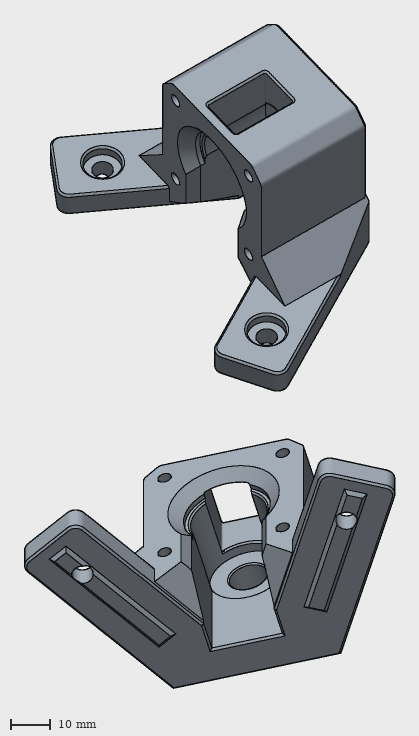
import cadquery as cq
import math

block_width = 42.0
block_depth = 33.3
axis_height = 28.6
block_top = axis_height + block_width / 2
corner_cut = 4.2
corner_blend = 1.9
edge_chamfer = 0.6
screw_spacing = 30.9
screw_dia = 3.5

leg_angle = 30.0
leg_width = 20.0
leg_thickness = 7.5
leg_corner_radius = 3.0
left_leg_length = 55.2
right_leg_length = 54.7
back_half_width = 21.9
gusset_top = 17.5
gusset_half_width = block_width / 2 + gusset_top - leg_thickness
undercut_height = 1.7

foot_hole_dia = 5.4
foot_counterbore_dia = 10.0
foot_counterbore_depth = 2.9
foot_hole_from_end = 12.5
key_width = 6.0
key_height = 1.0
key_back_margin = 12.2
key_end_margin = 3.6

cone_dia = 29.2
recess_dia = 22.7
cone_depth = 3.3
recess_depth = 4.6
bore_dia = 20.0
bore_depth = 24.3
bore_lead = 0.5
shaft_dia = 10.0
shaft_lead = 0.4
slot_width = 18.5
slot_mouth_width = 22.2
slot_depth = 23.3

window_width = 12.0
window_front = 3.0
window_back = 21.3
window_radius = 0.6

bevel_taper = 45.0
reach = 96.7
sin_leg = math.sin(math.radians(leg_angle))
cos_leg = math.cos(math.radians(leg_angle))


def leg_point(side, along, inward):
    """Plan point measured from a back corner: along the leg and inward across it (side -1 left, +1 right)."""
    x = back_half_width + along * sin_leg - inward * cos_leg
    y = block_depth - along * cos_leg - inward * sin_leg
    return (side * x, y)


def leg_plane(side, along, inward, height):
    """Horizontal plane whose local X runs down the leg."""
    x, y = leg_point(side, along, inward)
    direction = (side * sin_leg, -cos_leg, 0)
    return cq.Plane(origin=(x, y, height), xDir=direction, normal=(0, 0, 1))


def frustum(start, end, start_dia, end_dia):
    """Solid of revolution on the shaft axis between two depths behind the front face."""
    profile = [(0, start), (start_dia / 2, start), (end_dia / 2, end), (0, end)]
    solid = cq.Workplane("XY").polyline(profile).close().revolve(360, (0, 0), (0, 1))
    return solid.translate((0, 0, axis_height))


def box_between(x_range, y_range, z_range):
    (x0, x1), (y0, y1), (z0, z1) = x_range, y_range, z_range
    return cq.Workplane("XY").box(x1 - x0, y1 - y0, z1 - z0, centered=False).translate((x0, y0, z0))


def prism(points, height):
    return cq.Workplane("XY").polyline(points).close().extrude(height)


def half_base(side, length):
    """One leg with its half of the base plate, ending at the centre plane."""
    apex_along = (leg_width * cos_leg - back_half_width) / sin_leg
    end_corners = [leg_point(side, length, 0), leg_point(side, length, leg_width)]
    outline = [
        (0, block_depth),
        leg_point(side, 0, 0),
        *end_corners,
        leg_point(side, apex_along, leg_width),
    ]
    leg = prism(outline, leg_thickness)
    for x, y in end_corners:
        corner_edge = cq.selectors.NearestToPointSelector((x, y, leg_thickness / 2))
        leg = leg.edges(corner_edge).fillet(leg_corner_radius)
    rim = leg.faces(">Z").edges("not (|Y or >Y)")
    return rim.chamfer(edge_chamfer)


def block_with_gussets():
    """Block with sloping gussets down to the legs, trimmed to the splayed outer leg faces."""
    half = block_width / 2
    right_side = [
        (gusset_half_width, 0),
        (gusset_half_width, leg_thickness),
        (half, gusset_top),
        (half, block_top - corner_cut),
        (half - corner_cut, block_top),
    ]
    left_side = [(-x, z) for x, z in reversed(right_side)]
    block = cq.Workplane("XZ").polyline(right_side + left_side).close().extrude(-block_depth)
    cut_corners = [(x, z) for x, z in right_side + left_side if z > gusset_top]
    for x, z in cut_corners:
        corner_edge = cq.selectors.NearestToPointSelector((x, block_depth / 2, z))
        block = block.edges(corner_edge).fillet(corner_blend)
    trim_length = block_depth / cos_leg
    trim = prism(
        [
            leg_point(-1, 0, 0),
            leg_point(-1, trim_length, 0),
            leg_point(1, trim_length, 0),
            leg_point(1, 0, 0),
        ],
        block_top,
    )
    return block.intersect(trim)


def undercut():
    """Space beside the right leg: upright at the bottom, then sloping inward at 45 degrees."""
    profile = [
        (0, 0),
        (0, undercut_height),
        (-leg_width, undercut_height + leg_width),
        (-leg_width, 0),
    ]
    x, y = leg_point(1, 0, leg_width)
    across_leg = cq.Plane(origin=(x, y, 0), xDir=(cos_leg, sin_leg, 0), normal=(sin_leg, -cos_leg, 0))
    wedge = cq.Workplane(across_leg).polyline(profile).close().extrude(reach, both=True)
    right_half = box_between((0, reach), (-reach, slot_depth), (0, block_top))
    return wedge.intersect(right_half)


def slot():
    """Open channel from the shaft axis down through the base, with a flared mouth at the front."""
    half = slot_width / 2
    mouth = slot_mouth_width / 2
    outline = [
        (-mouth, 0),
        (-half, cone_depth),
        (-half, slot_depth),
        (half, slot_depth),
        (half, cone_depth),
        (mouth, 0),
    ]
    return prism(outline, axis_height)


def bore_lead_in(start):
    return frustum(start, start + bore_lead, bore_dia + 2 * bore_lead, bore_dia)


def shaft_cavity():
    """Conical mouth, recess, bore and shaft hole, one behind the other."""
    cavity = frustum(0, cone_depth, cone_dia, recess_dia)
    cavity = cavity.union(frustum(cone_depth, recess_depth, recess_dia, recess_dia))
    cavity = cavity.union(bore_lead_in(recess_depth))
    cavity = cavity.union(frustum(recess_depth, bore_depth, bore_dia, bore_dia))
    shaft_rim_dia = shaft_dia + 2 * shaft_lead
    cavity = cavity.union(frustum(bore_depth, bore_depth + shaft_lead, shaft_rim_dia, shaft_dia))
    return cavity.union(frustum(bore_depth, block_depth, shaft_dia, shaft_dia))


def window():
    """Chamfered opening in the top face, with a lead-in where the bore resumes behind it."""
    length = window_back - window_front
    center = (0, window_front + length / 2)
    opening = cq.Workplane("XY", origin=(*center, axis_height)).rect(window_width, length)
    opening = opening.extrude(block_top - axis_height).edges("|Z").fillet(window_radius)
    rim_outline = (
        cq.Sketch()
        .rect(window_width + 2 * edge_chamfer, length + 2 * edge_chamfer)
        .vertices().fillet(window_radius + edge_chamfer)
    )
    rim = cq.Workplane("XY", origin=(*center, block_top)).placeSketch(rim_outline)
    rim = rim.extrude(-edge_chamfer, taper=bevel_taper)
    behind = box_between(
        (-window_width / 2, window_width / 2),
        (window_back, window_back + bore_lead),
        (axis_height, block_top),
    )
    return opening.union(rim).union(bore_lead_in(window_back).intersect(behind))


def motor_screw_holes():
    pattern = cq.Workplane("XZ", origin=(0, 0, axis_height))
    pattern = pattern.rect(screw_spacing, screw_spacing, forConstruction=True)
    return pattern.vertices().circle(screw_dia / 2).extrude(-block_depth)


def locating_key(side, length):
    """Rib under a leg, bevelled all round."""
    key_length = length - key_back_margin - key_end_margin
    plane = leg_plane(side, key_back_margin + key_length / 2, leg_width / 2, 0)
    return cq.Workplane(plane).rect(key_length, key_width).extrude(-key_height, taper=bevel_taper)


def foot_hole(side, length):
    """Counterbored screw hole with a chamfered rim."""
    plane = leg_plane(side, length - foot_hole_from_end, leg_width / 2, leg_thickness)
    bore_radius = foot_counterbore_dia / 2
    hole = cq.Workplane(plane).circle(foot_hole_dia / 2).extrude(-leg_thickness - key_height)
    bore = cq.Workplane(plane).circle(bore_radius).extrude(-foot_counterbore_depth)
    rim = cq.Workplane(plane).circle(bore_radius + edge_chamfer).extrude(-edge_chamfer, taper=bevel_taper)
    return hole.union(bore).union(rim)


legs = [(-1, left_leg_length), (1, right_leg_length)]

body = block_with_gussets()
for side, length in legs:
    body = body.union(half_base(side, length))
body = body.cut(slot())
body = body.cut(undercut()).cut(undercut().mirror("YZ"))

body = body.faces("<Z").edges().chamfer(edge_chamfer)
block_back = cq.selectors.BoxSelector(
    (-gusset_half_width, block_depth - edge_chamfer / 2, gusset_top),
    (gusset_half_width, block_depth + edge_chamfer / 2, block_top + edge_chamfer),
)
body = body.faces(">Y").edges(block_back).chamfer(edge_chamfer)

body = body.cut(shaft_cavity()).cut(window()).cut(motor_screw_holes())
for side, length in legs:
    body = body.union(locating_key(side, length)).cut(foot_hole(side, length))

result = body